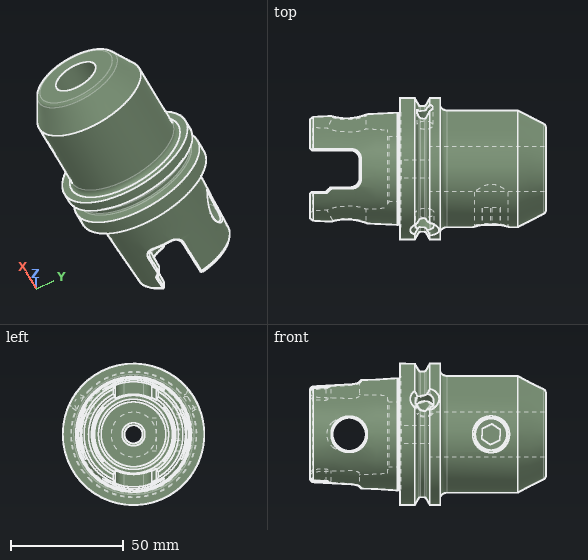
import cadquery as cq
import math

SHANK_LENGTH = 40.0
FLANGE_WIDTH = 18.0
NOSE_END = 64.95
NOSE_CONE_START = 52.3

SHANK_BASE_X = -1.2
SHANK_BASE_RADIUS = 25.0
TAPER_SLOPE = 0.05
SHANK_CHAMFER_LENGTH = 1.4
SHANK_TIP_RADIUS = 22.0
SHANK_CHAMFER_X = -SHANK_LENGTH + SHANK_CHAMFER_LENGTH

RELIEF_NECK_X = -0.6
RELIEF_NECK_RADIUS = 24.5
RELIEF_BOTTOM_X = 0.3
RELIEF_BOTTOM_RADIUS = 25.7
RELIEF_RIM_RADIUS = 26.7

FLANGE_RADIUS = 31.475
GRIP_GROOVE_X = 9.95
GRIP_GROOVE_RIM_WIDTH = 6.7
GRIP_GROOVE_RADIUS = 28.0
GRIP_FLOOR_FILLET = 0.8
GRIP_FLANK_ANGLE = 30.0

CODING_HOLE_X = 11.0
CODING_HOLE_ELEVATION = 30.0
CODING_HOLE_FLOOR = 22.5
DRILL_POINT_ANGLE = 118.0
DRILL_CLEARANCE = 1.0
COUNTERSUNK_HOLE_RADIUS = 4.1
COUNTERSINK_RADIUS = 6.4
PLAIN_HOLE_RADIUS = 3.6

NOSE_RADIUS = 26.0
NOSE_TIP_RADIUS = 19.5
NOSE_TIP_FILLET = 2.2
NECK_FILLET_LENGTH = 2.9
NECK_FILLET_RISE = 1.7

CAVITY_MOUTH_RADIUS = 20.0
CAVITY_MOUTH_DEPTH = 1.0
CAVITY_THROAT_RADIUS = 18.75
CAVITY_CONE_START_X = -36.4
CAVITY_CONE_RADIUS = 18.35
CAVITY_CONE_END_X = -8.7
CAVITY_CONE_END_RADIUS = 17.6
CAVITY_LAND_X = -7.7
CAVITY_LAND_RADIUS = 17.3
CAVITY_STEP_X = -5.6
CAVITY_STEP_RADIUS = 15.6
CAVITY_FLOOR_X = 0.0
CAVITY_FLOOR_RADIUS = 14.4
CAVITY_CHAMFER_END_X = -4.9

CENTRE_HOLE_RADIUS = 4.0
CENTRE_HOLE_CHAMFER = 1.1
CENTRE_HOLE_CHAMFER_DEPTH = 0.6
TOOL_BORE_RADIUS = 10.0
TOOL_BORE_DEPTH = 52.0

SLOT_END_X = -18.0
SLOT_HALF_WIDTH = 8.1
SLOT_CORNER_RADIUS = 3.8
SLOT_WIDE_HALF_WIDTH = 10.1
SLOT_STEP_START_X = -32.9
SLOT_STEP_END_X = -30.7
SLOT_MOUTH_CHAMFER = 1.0

SHANK_EDGE_CHAMFER = 0.8
SURFACE_TOLERANCE = 0.01

BALL_HOLE_X = -22.5
BALL_HOLE_RADIUS = 7.3
BALL_RELIEF_ANGLE = 30.0
BALL_RELIEF_REACH = 14.0
BALL_RELIEF_RADIUS = 7.1
BALL_RELIEF_START = 2.5

SCREW_X = 40.5
SCREW_RADIUS = 7.4
SCREW_FACE_Y = -25.0
SCREW_CHAMFER = 0.4
SCREW_SOCKET_FLATS = 8.0
SCREW_SOCKET_DEPTH = 8.0
SCREW_SOCKET_TURN = 4.0
SCREW_HOLE_CHAMFER = 0.8


def shank_radius(x):
    """Radius of the shank taper at a place along the tool axis."""
    return SHANK_BASE_RADIUS - TAPER_SLOPE * (SHANK_BASE_X - x)


def revolve_about_x(sketch):
    return sketch.close().revolve(360, (0, 0, 0), (1, 0, 0))


def rod_along_y(x, radius, y_start, y_end):
    plane = cq.Plane((x, y_start, 0), xDir=(1, 0, 0), normal=(0, 1, 0))
    return cq.Workplane(plane).circle(radius).extrude(y_end - y_start)


def make_blank():
    """Outer turned form: shank, relief groove, flange with grip groove, and nose."""
    flank_run = (FLANGE_RADIUS - GRIP_GROOVE_RADIUS) * math.tan(math.radians(GRIP_FLANK_ANGLE))
    rim_half = GRIP_GROOVE_RIM_WIDTH / 2
    floor_half = rim_half - flank_run
    neck_end_x = FLANGE_WIDTH + NECK_FILLET_LENGTH
    sketch = (
        cq.Workplane("XY")
        .moveTo(-SHANK_LENGTH, 0)
        .lineTo(-SHANK_LENGTH, SHANK_TIP_RADIUS)
        .lineTo(SHANK_CHAMFER_X, shank_radius(SHANK_CHAMFER_X))
        .lineTo(SHANK_BASE_X, SHANK_BASE_RADIUS)
        .lineTo(RELIEF_NECK_X, RELIEF_NECK_RADIUS)
        .lineTo(RELIEF_BOTTOM_X, RELIEF_BOTTOM_RADIUS)
        .lineTo(0, RELIEF_RIM_RADIUS)
        .lineTo(0, FLANGE_RADIUS)
        .lineTo(GRIP_GROOVE_X - rim_half, FLANGE_RADIUS)
        .lineTo(GRIP_GROOVE_X - floor_half, GRIP_GROOVE_RADIUS)
        .lineTo(GRIP_GROOVE_X + floor_half, GRIP_GROOVE_RADIUS)
        .lineTo(GRIP_GROOVE_X + rim_half, FLANGE_RADIUS)
        .lineTo(FLANGE_WIDTH, FLANGE_RADIUS)
        .lineTo(FLANGE_WIDTH, NOSE_RADIUS + NECK_FILLET_RISE)
    )
    neck_radius = (NECK_FILLET_LENGTH**2 + NECK_FILLET_RISE**2) / (2 * NECK_FILLET_RISE)
    half_sweep = math.asin(NECK_FILLET_LENGTH / neck_radius) / 2
    neck_middle = (
        neck_end_x - neck_radius * math.sin(half_sweep),
        NOSE_RADIUS + neck_radius * (1 - math.cos(half_sweep)),
    )
    sketch = (
        sketch.threePointArc(neck_middle, (neck_end_x, NOSE_RADIUS))
        .lineTo(NOSE_CONE_START, NOSE_RADIUS)
        .lineTo(NOSE_END, NOSE_TIP_RADIUS)
        .lineTo(NOSE_END, 0)
    )
    blank = revolve_about_x(sketch).faces(">X").edges().fillet(NOSE_TIP_FILLET)
    floor_box = cq.selectors.BoxSelector(
        (GRIP_GROOVE_X - rim_half + flank_run / 2, -FLANGE_RADIUS, -FLANGE_RADIUS),
        (GRIP_GROOVE_X + rim_half - flank_run / 2, FLANGE_RADIUS, FLANGE_RADIUS),
        boundingbox=True,
    )
    return blank.edges(floor_box).edges("%CIRCLE").fillet(GRIP_FLOOR_FILLET)


def make_cavity():
    """Stepped cavity in the shank, centre hole, and tool bore in the nose."""
    chamfer_radius = CENTRE_HOLE_RADIUS + CENTRE_HOLE_CHAMFER
    bore_bottom_x = NOSE_END - TOOL_BORE_DEPTH
    sketch = (
        cq.Workplane("XY")
        .moveTo(-SHANK_LENGTH, 0)
        .lineTo(-SHANK_LENGTH, CAVITY_MOUTH_RADIUS)
        .lineTo(-SHANK_LENGTH + CAVITY_MOUTH_DEPTH, CAVITY_THROAT_RADIUS)
        .lineTo(CAVITY_CONE_START_X, CAVITY_CONE_RADIUS)
        .lineTo(CAVITY_CONE_END_X, CAVITY_CONE_END_RADIUS)
        .lineTo(CAVITY_LAND_X, CAVITY_LAND_RADIUS)
        .lineTo(CAVITY_STEP_X, CAVITY_LAND_RADIUS)
        .lineTo(CAVITY_STEP_X, CAVITY_STEP_RADIUS)
        .lineTo(CAVITY_CHAMFER_END_X, CAVITY_FLOOR_RADIUS)
        .lineTo(CAVITY_FLOOR_X, CAVITY_FLOOR_RADIUS)
        .lineTo(CAVITY_FLOOR_X, chamfer_radius)
        .lineTo(CAVITY_FLOOR_X + CENTRE_HOLE_CHAMFER_DEPTH, CENTRE_HOLE_RADIUS)
        .lineTo(bore_bottom_x, CENTRE_HOLE_RADIUS)
        .lineTo(bore_bottom_x, TOOL_BORE_RADIUS)
        .lineTo(NOSE_END, TOOL_BORE_RADIUS)
        .lineTo(NOSE_END, 0)
    )
    return revolve_about_x(sketch)


def make_slot():
    """Open-ended slot through the shank along Z, stepped wider on its -Y side."""
    mouth_x = -SHANK_LENGTH
    mouth_end_x = mouth_x + SLOT_MOUTH_CHAMFER
    outline = [
        (mouth_x, SLOT_HALF_WIDTH + SLOT_MOUTH_CHAMFER),
        (mouth_end_x, SLOT_HALF_WIDTH),
        (SLOT_END_X, SLOT_HALF_WIDTH),
        (SLOT_END_X, -SLOT_HALF_WIDTH),
        (SLOT_STEP_END_X, -SLOT_HALF_WIDTH),
        (SLOT_STEP_START_X, -SLOT_WIDE_HALF_WIDTH),
        (mouth_end_x, -SLOT_WIDE_HALF_WIDTH),
        (mouth_x, -SLOT_WIDE_HALF_WIDTH - SLOT_MOUTH_CHAMFER),
    ]
    slot = cq.Workplane("XY").polyline(outline).close().extrude(FLANGE_RADIUS, both=True)
    return slot.edges("|Z and >X").fillet(SLOT_CORNER_RADIUS)


def nose_radius(x):
    """Radius of the cylindrical part of the nose, the same all along it."""
    return NOSE_RADIUS


def chamfer_cut_edges(body, radius_at, size):
    """Chamfer the edges that cuts have left on a turned surface.

    Seam lines and turned circles on that surface are skipped; a slot end that is
    a circular arc is still reached, because it runs on smoothly from its sides.
    """
    cut_edges = []
    for edge in body.edges().vals():
        points = [edge.positionAt(fraction) for fraction in (0.0, 0.5, 1.0)]
        on_surface = all(
            abs(math.hypot(point.y, point.z) - radius_at(point.x)) < SURFACE_TOLERANCE
            for point in points
        )
        if on_surface and edge.geomType() not in ("LINE", "CIRCLE"):
            cut_edges.append(edge)
    return body.newObject(cut_edges).chamfer(size)


def make_ball_relief(side):
    """Leaning cylinder that widens the inner end of one ball hole toward the shank tip."""
    angle = math.radians(BALL_RELIEF_ANGLE)
    start_y = side * (shank_radius(BALL_HOLE_X) - BALL_RELIEF_START)
    inward = cq.Vector(-math.sin(angle), -side * math.cos(angle), 0)
    plane = cq.Plane((BALL_HOLE_X, start_y, 0), xDir=(0, 0, 1), normal=inward)
    return cq.Workplane(plane).circle(BALL_RELIEF_RADIUS).extrude(BALL_RELIEF_REACH)


def make_coding_hole(side, radius, countersink_radius=None):
    """Radial drilled hole with a conical floor on the +Y (side=1) or -Y (side=-1) half."""
    elevation = math.radians(CODING_HOLE_ELEVATION)
    outward = cq.Vector(0, side * math.cos(elevation), math.sin(elevation))
    plane = cq.Plane((CODING_HOLE_X, 0, 0), xDir=(1, 0, 0), normal=outward)
    point_depth = radius / math.tan(math.radians(DRILL_POINT_ANGLE / 2))
    outer = FLANGE_RADIUS + DRILL_CLEARANCE
    profile = (
        cq.Workplane("XY")
        .moveTo(0, CODING_HOLE_FLOOR - point_depth)
        .lineTo(radius, CODING_HOLE_FLOOR)
    )
    if countersink_radius:
        sink_depth = countersink_radius - radius
        profile = (
            profile.lineTo(radius, FLANGE_RADIUS - sink_depth)
            .lineTo(countersink_radius, FLANGE_RADIUS)
            .lineTo(countersink_radius, outer)
        )
    else:
        profile = profile.lineTo(radius, outer)
    hole = profile.lineTo(0, outer).close().revolve(360, (0, 0, 0), (0, 1, 0))
    upright = hole.rotate((0, 0, 0), (1, 0, 0), 90)
    return cq.Workplane(upright.val().moved(cq.Location(plane)))


def make_holder():
    body = make_blank().cut(make_cavity()).cut(make_slot())
    body = body.cut(rod_along_y(BALL_HOLE_X, BALL_HOLE_RADIUS, -FLANGE_RADIUS, FLANGE_RADIUS))
    body = chamfer_cut_edges(body, shank_radius, SHANK_EDGE_CHAMFER)
    for side in (-1, 1):
        body = body.cut(make_ball_relief(side))
    body = body.cut(rod_along_y(SCREW_X, SCREW_RADIUS, -FLANGE_RADIUS, 0))
    body = chamfer_cut_edges(body, nose_radius, SCREW_HOLE_CHAMFER)
    body = body.cut(make_coding_hole(-1, COUNTERSUNK_HOLE_RADIUS, COUNTERSINK_RADIUS))
    return body.cut(make_coding_hole(1, PLAIN_HOLE_RADIUS))


def make_screw():
    """Set screw with a hexagon socket, reaching from its face to the tool bore."""
    screw = rod_along_y(SCREW_X, SCREW_RADIUS, SCREW_FACE_Y, -TOOL_BORE_RADIUS)
    screw = screw.faces("<Y").edges().chamfer(SCREW_CHAMFER)
    corner_diameter = SCREW_SOCKET_FLATS / math.cos(math.pi / 6)
    plane = cq.Plane((SCREW_X, SCREW_FACE_Y, 0), xDir=(0, 0, 1), normal=(0, 1, 0))
    socket = (
        cq.Workplane(plane)
        .transformed(rotate=(0, 0, SCREW_SOCKET_TURN))
        .polygon(6, corner_diameter)
        .extrude(SCREW_SOCKET_DEPTH)
    )
    return screw.cut(socket)


holder = make_holder()
screw = make_screw()
result = cq.Compound.makeCompound([holder.solids().val(), screw.solids().val()])